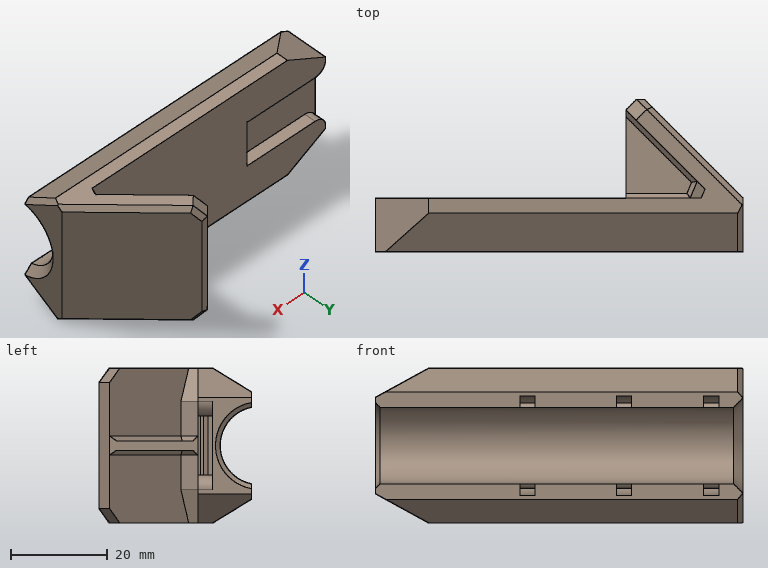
import cadquery as cq
import math

length = 76.0
width = 32.0
plate_thickness = 11.1
half_width = width / 2

front_half_width = 11.1
bevel_depth = 8.0
nose_half_width = 9.95
nose_length = 11.0

arm_thickness = 4.25
arm_length = 30.0
tip_chamfer = 3.0
edge_chamfer = 1.15
diagonal = math.sqrt(0.5)

web_leg = 4.95
web_side_leg = 2.65
web_half_width = 9.1

rib_x = 51.75
rib_thickness = 2.0
rib_flare = 1.0
rib_flare_angle = 45
rib_pocket_overrun = 3.95

bore_radius = 8.05
bore_axis_y = -1.6
left_countersink = 1.0
right_countersink = 2.0

tie_positions = (31.5, 51.4, 69.4)
tie_width = 3.1
tie_inner_radius = 9.35
tie_outer_radius = 10.4
lip_radius = 2.5 / 2

groove_floor_y = 8.05
groove_half_width = 6.1
groove_mouth_radius = 3.05
groove_length = 21.3
groove_step = 0.9
groove_upper_wall = 0.7

corner_x = length - arm_thickness / diagonal
tip_outer = (length - arm_length * diagonal, plate_thickness + arm_length * diagonal)
tip_inner = (tip_outer[0] - arm_thickness * diagonal, tip_outer[1] - arm_thickness * diagonal)


def web_points(leg):
    """Triangle in the inner corner with equal legs along the plate and the arm."""
    return [
        (corner_x, plate_thickness),
        (corner_x - leg * diagonal, plate_thickness + leg * diagonal),
        (corner_x - leg, plate_thickness),
    ]


def make_end_chamfer():
    """Block whose lower face chamfers the edge between a front bevel and the right end."""
    bevel_normal = cq.Vector(0, front_half_width - half_width, bevel_depth).normalized()
    chamfer_plane = cq.Plane(
        origin=(length - edge_chamfer, 0, front_half_width),
        xDir=(0, bevel_depth, half_width - front_half_width),
        normal=bevel_normal + cq.Vector(1, 0, 0),
    )
    return cq.Workplane(chamfer_plane).rect(width, width).extrude(half_width)


def make_plate_and_arm():
    outline = [
        (0, 0),
        (length, 0),
        (length, plate_thickness),
        tip_outer,
        tip_inner,
        (corner_x, plate_thickness),
        (0, plate_thickness),
    ]
    body = cq.Workplane("XY").polyline(outline).close().extrude(half_width, both=True)

    tip_edge_x = (tip_outer[0] + tip_inner[0]) / 2
    tip_edge_y = (tip_outer[1] + tip_inner[1]) / 2
    for z in (-half_width, half_width):
        tip_corner = cq.selectors.NearestToPointSelector((tip_edge_x, tip_edge_y, z))
        body = body.edges(tip_corner).chamfer(tip_chamfer)

    section = [
        (0, front_half_width),
        (bevel_depth, half_width),
        (bevel_depth, width),
        (0, width),
    ]
    bevel = cq.Workplane("YZ").polyline(section).close().extrude(length)
    nose = [
        (0, nose_half_width),
        (nose_length, half_width),
        (0, half_width),
    ]
    taper = cq.Workplane("XZ").polyline(nose).close().extrude(-plate_thickness)
    for cutter in (bevel, taper, make_end_chamfer()):
        body = body.cut(cutter).cut(cutter.mirror("XY"))

    outward = cq.selectors.DirectionMinMaxSelector(cq.Vector(1, 1, 0))
    return body.faces(outward).edges("not >X").chamfer(edge_chamfer)


def make_web():
    middle = (
        cq.Workplane("XY")
        .polyline(web_points(web_leg)).close()
        .extrude(web_half_width, both=True)
    )
    side = (
        cq.Workplane("XY", origin=(0, 0, web_half_width))
        .polyline(web_points(web_leg)).close()
        .workplane(offset=half_width - web_half_width)
        .polyline(web_points(web_side_leg)).close()
        .loft(ruled=True)
    )
    return middle.union(side).union(side.mirror("XY"))


def make_rib():
    """Triangular rib whose thickness flares where it meets the plate, web and arm."""
    web_face = web_points(web_leg)[1:]

    def opening(left_x):
        on_arm = (left_x, plate_thickness + corner_x - left_x)
        return [(left_x, plate_thickness), on_arm] + web_face

    base_half = rib_thickness / 2 + rib_flare
    rib = cq.Workplane("XY").polyline(opening(rib_x)).close().extrude(base_half, both=True)
    pocket = (
        cq.Workplane("XY", origin=(0, 0, base_half))
        .polyline(opening(rib_x - rib_pocket_overrun)).close()
        .extrude(-rib_flare, taper=rib_flare_angle)
    )
    return rib.cut(pocket).cut(pocket.mirror("XY"))


def countersink(x, depth, direction):
    cone = cq.Solid.makeCone(
        bore_radius + depth, bore_radius, depth,
        cq.Vector(x, bore_axis_y, 0), cq.Vector(direction, 0, 0),
    )
    return cq.Workplane(obj=cone)


def make_bore():
    bore = cq.Workplane("YZ").center(bore_axis_y, 0).circle(bore_radius).extrude(length)
    left = countersink(0, left_countersink, 1)
    right = countersink(length, right_countersink, -1)
    return bore.union(left).union(right)


def make_tie_channel(x):
    """Ring channel; the lip between channel and bore is rounded at the front face."""
    start = cq.Workplane("YZ", origin=(x - tie_width / 2, 0, 0))
    disc = start.center(bore_axis_y, 0).circle(tie_outer_radius).extrude(tie_width)
    core = start.center(bore_axis_y, 0).circle(tie_inner_radius).extrude(tie_width)
    front = start.center(-width / 2, 0).rect(width, width).extrude(tie_width)
    core = core.cut(front).edges("|X").fillet(lip_radius)
    return disc.cut(core)


def make_groove():
    wall_top = groove_floor_y + 2 * groove_step
    ledge = wall_top + groove_upper_wall
    profile = [
        (0, groove_floor_y),
        (groove_length, groove_floor_y),
        (groove_length, groove_floor_y + groove_step),
        (groove_length + groove_step, wall_top),
        (groove_length + groove_step, ledge),
        (groove_length + groove_step + plate_thickness - ledge, plate_thickness),
        (0, plate_thickness),
    ]
    channel = cq.Workplane("XY").polyline(profile).close().extrude(groove_half_width, both=True)
    mouth_half = groove_half_width + groove_mouth_radius
    bulge = groove_mouth_radius * (1 - diagonal)
    mouth = (
        cq.Workplane("XZ", origin=(0, groove_floor_y, 0))
        .moveTo(0, -mouth_half)
        .threePointArc((bulge, -mouth_half + groove_mouth_radius * diagonal),
                       (groove_mouth_radius, -groove_half_width))
        .lineTo(groove_mouth_radius, groove_half_width)
        .threePointArc((bulge, mouth_half - groove_mouth_radius * diagonal), (0, mouth_half))
        .close()
        .extrude(groove_floor_y - plate_thickness)
    )
    return channel.union(mouth)


result = make_plate_and_arm().union(make_web()).union(make_rib())
result = result.cut(make_bore()).cut(make_groove())
for tie_x in tie_positions:
    result = result.cut(make_tie_channel(tie_x))